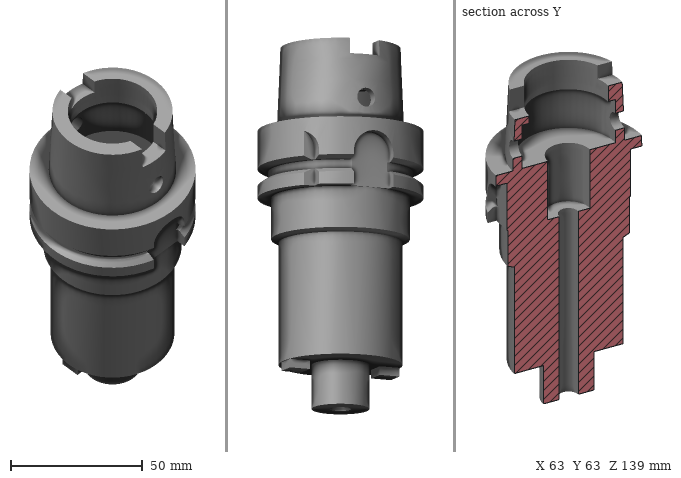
import cadquery as cq

total_height = 139.0
flange_top = 107.0
groove_upper_edge = 92.5
groove_top = 91.2
groove_bottom = 87.6
groove_lower_edge = 85.9
flange_bottom = 81.2
collar_bottom = 65.3
collar_chamfer_end = 64.1
body_bottom = 17.0

pilot_radius = 11.0
body_radius = 23.5
collar_radius = 26.3
flange_radius = 63.0 / 2
groove_mouth_radius = 29.0
groove_radius = 27.5
taper_base_radius = 24.2
taper_top_radius = 22.8

entry_bore_radius = 17.0
entry_bore_depth = 13.0
chamber_radius = 20.0
chamber_depth = total_height - flange_top
thread_bore_radius = 9.0
thread_bore_bottom = flange_bottom
coolant_radius = 4.0

end_slot_width = 12.2
left_end_slot_depth = 6.0
right_end_slot_depth = 9.6
cross_hole_diameter = 7.4
cross_hole_height = 116.2

slot_radius = 8.2
drive_slot_floor = 26.5
drive_slot_center_height = 94.0
index_slot_floor = 20.0
index_slot_side = 20.0
index_slot_center_height = 94.8

key_width = 8.0
key_height = 3.3
key_inner = 14.6
key_outer = 22.8


def cylinder(radius, bottom, top):
    return cq.Workplane("XY").workplane(offset=bottom).circle(radius).extrude(top - bottom)


def box(x_range, y_range, z_range):
    (x0, x1), (y0, y1), (z0, z1) = x_range, y_range, z_range
    return cq.Workplane("XY").box(x1 - x0, y1 - y0, z1 - z0, centered=False).translate((x0, y0, z0))


def turned_blank():
    profile = [
        (0, 0),
        (pilot_radius, 0),
        (pilot_radius, body_bottom),
        (body_radius, body_bottom),
        (body_radius, collar_chamfer_end),
        (collar_radius, collar_bottom),
        (collar_radius, flange_bottom),
        (flange_radius, flange_bottom),
        (flange_radius, groove_lower_edge),
        (groove_mouth_radius, groove_bottom),
        (groove_radius, groove_bottom),
        (groove_radius, groove_top),
        (groove_mouth_radius, groove_top),
        (flange_radius, groove_upper_edge),
        (flange_radius, flange_top),
        (taper_base_radius, flange_top),
        (taper_top_radius, total_height),
        (0, total_height),
    ]
    return cq.Workplane("XZ").polyline(profile).close().revolve(360, (0, 0), (0, 1))


def stepped_bore():
    chamber_top = total_height - entry_bore_depth
    chamber_bottom = total_height - chamber_depth
    bore = cylinder(entry_bore_radius, chamber_top, total_height)
    bore = bore.union(cylinder(chamber_radius, chamber_bottom, chamber_top))
    bore = bore.union(cylinder(thread_bore_radius, thread_bore_bottom, chamber_bottom))
    return bore.union(cylinder(coolant_radius, 0, thread_bore_bottom))


def end_slot(x_range, depth):
    half_width = end_slot_width / 2
    return box(x_range, (-half_width, half_width), (total_height - depth, total_height))


def cross_hole():
    return (
        cq.Workplane("YZ")
        .center(0, cross_hole_height)
        .circle(cross_hole_diameter / 2)
        .extrude(flange_radius, both=True)
    )


def round_topped_slot(x_inner, x_outer, y_center, center_height):
    """Slot milled along X, open at the flange bottom and closed by a half round at the top."""
    return (
        cq.Workplane("YZ")
        .workplane(offset=x_inner)
        .moveTo(y_center - slot_radius, flange_bottom)
        .lineTo(y_center - slot_radius, center_height)
        .threePointArc((y_center, center_height + slot_radius), (y_center + slot_radius, center_height))
        .lineTo(y_center + slot_radius, flange_bottom)
        .close()
        .extrude(x_outer - x_inner)
    )


def key(side):
    y_range = sorted((side * key_inner, side * key_outer))
    return box((-key_width / 2, key_width / 2), y_range, (body_bottom - key_height, body_bottom))


result = turned_blank().cut(stepped_bore()).cut(cross_hole())

result = result.cut(end_slot((-flange_radius, 0), left_end_slot_depth))
result = result.cut(end_slot((0, flange_radius), right_end_slot_depth))

for x_inner, x_outer in ((-flange_radius, -drive_slot_floor), (drive_slot_floor, flange_radius)):
    result = result.cut(round_topped_slot(x_inner, x_outer, 0, drive_slot_center_height))
index_slot_center = index_slot_side + slot_radius
result = result.cut(
    round_topped_slot(-flange_radius, -index_slot_floor, index_slot_center, index_slot_center_height)
)

for side in (-1, 1):
    result = result.union(key(side))